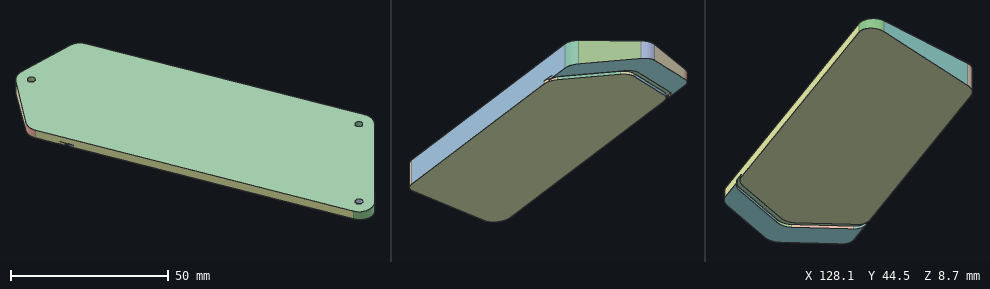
import cadquery as cq
import math

length = 128.1
width = 44.5
back_height = 8.7
front_height = 3.3

corner_radius = 5.0
nose_angle = 30.0
tail_angle = 21.0

hole_diameter = 2.4
hole_depth = 2.0
drill_point_angle = 118.0

groove_start = 10.0
groove_width = 3.0
groove_depth = 1.0

half_width = width / 2
corner_y = half_width - corner_radius
nose_x = corner_radius
shoulder_x = nose_x + corner_y * math.tan(math.radians(nose_angle))
tail_front_x = length - corner_radius
tail_back_x = tail_front_x - 2 * corner_y * math.tan(math.radians(tail_angle))


def outline_prism(offset_x, height):
    """Solid below Z = 0 with the plate outline, moved along X by offset_x."""
    corners = [
        (nose_x, 0),
        (shoulder_x, -corner_y),
        (tail_front_x, -corner_y),
        (tail_back_x, corner_y),
        (shoulder_x, corner_y),
    ]
    return (
        cq.Workplane("XY")
        .polyline(corners)
        .close()
        .offset2D(corner_radius, "arc")
        .extrude(-height)
        .translate((offset_x, 0, 0))
    )


def wedge(front, back):
    """Block over the whole plate whose underside slopes from the front to the back height."""
    profile = [
        (-half_width, 0),
        (half_width, 0),
        (half_width, -back),
        (-half_width, -front),
    ]
    return cq.Workplane("YZ").polyline(profile).close().extrude(length)


def chevron_groove():
    """Band between two shifted copies of the outline, kept only near the underside."""
    inner_start = groove_start + groove_width
    band = outline_prism(groove_start, back_height).cut(outline_prism(inner_start, back_height))
    nose_half = cq.Workplane("XY").box(length / 2, width, back_height, centered=(False, True, False))
    nose_half = nose_half.translate((0, 0, -back_height))
    floor = wedge(front_height - groove_depth, back_height - groove_depth)
    return band.intersect(nose_half).cut(floor)


def screw_hole(x, y):
    """Blind drilled hole with a conical end."""
    radius = hole_diameter / 2
    point_depth = radius / math.tan(math.radians(drill_point_angle / 2))
    profile = [
        (0, 0),
        (radius, 0),
        (radius, -hole_depth),
        (0, -hole_depth - point_depth),
    ]
    hole = cq.Workplane("XZ").polyline(profile).close().revolve(360, (0, 0, 0), (0, 1, 0))
    return hole.translate((x, y, 0))


plate = outline_prism(0, back_height).intersect(wedge(front_height, back_height))
plate = plate.cut(chevron_groove())

hole_centres = [(nose_x, 0), (tail_front_x, -corner_y), (tail_back_x, corner_y)]
for hole_x, hole_y in hole_centres:
    plate = plate.cut(screw_hole(hole_x, hole_y))

result = plate